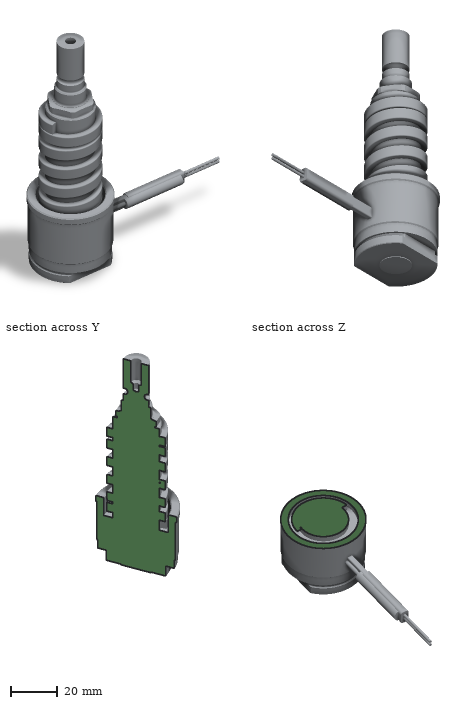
import math

import cadquery as cq

TOTAL_HEIGHT = 116.2
FLANGE_RADIUS = 19.0
FLANGE_TOP = 35.4
FLANGE_HEIGHT = 3.6
FLANGE_CHAMFER = 0.5
BODY_RADIUS = 18.5
BODY_BOTTOM = 10.5
COLLAR_RADIUS = 18.0
COLLAR_BOTTOM = 5.95
NECK_RADIUS = 17.0
FOOT_RADIUS = 18.0
FOOT_TOP = 4.2
FOOT_CHAMFER = 0.3
PAD_RADIUS = 7.0
PAD_HEIGHT = 0.35
FLATS_WIDTH = 28.0
RECESS_RADIUS = 15.0
RECESS_DEPTH = 10.0
RECESS_CHAMFER = 0.5

CORE_RADIUS = 11.0
CORE_TOP = 82.25
CORE_CHAMFER = 0.5
HEX_ACROSS_FLATS = 19.0
HEX_CORNER_DIAMETER = 21.0
UNDERCUT_HEIGHT = 0.4
HEX_BOTTOM = CORE_TOP + UNDERCUT_HEIGHT
HEX_TOP = 85.7
HEX_CROWN = 0.7
UNDERCUT_RADIUS = 8.8
COLLET_RADIUS = 7.0
COLLET_TOP = 92.9
COLLET_CHAMFER = 0.6
COLLET_FILLET = 0.8
SHAFT_RADIUS = 6.0
SHAFT_FILLET = 0.4
GROOVE_BOTTOM = 96.6
GROOVE_WIDTH = 2.9
GROOVE_MIN_RADIUS = 4.0
HOLE_RADIUS = 2.4
HOLE_DEPTH = 12.0
PILOT_RADIUS = 1.2
PILOT_DEPTH = 16.0
DRILL_POINT_ANGLE = 118.0

SPRING_OUTER_RADIUS = 13.75
WIRE_HEIGHT = 5.2
WIRE_FILLET = 0.4
BOND_OVERLAP = 0.1
SPRING_TOP = 79.75
SPRING_END_ANGLE = -71.2
CLOSED_PITCH = 5.5
OPEN_PITCH = 10.0
CLOSED_TURNS = 1.09
UPPER_TRANSITION_TURNS = 1.0
OPEN_TURNS = 2.4
LOWER_TRANSITION_TURNS = 0.7
POINTS_PER_TURN = 12

LEAD_HEIGHT = 17.25
LEAD_START = 17.0
FLAT_CABLE_X = -1.5
FLAT_CABLE_WIDTH = 2.6
FLAT_CABLE_HEIGHT = 5.3
FLAT_CABLE_FILLET = 0.5
FLAT_SLEEVE_WIDTH = 4.0
FLAT_SLEEVE_HEIGHT = 6.1
FLAT_SLEEVE_FILLET = 1.1
FLAT_SLEEVE_START = 31.0
SLEEVE_LENGTH = 30.0
WIRE_DIAMETER = 1.3
WIRE_SPACING = 1.8
WIRE_END = 81.0
ROUND_CABLE_DIAMETER = 2.0
ROUND_SLEEVE_DIAMETER = 5.0
ROUND_SLEEVE_START = 29.0


def cylinder(radius, bottom, top):
    return cq.Workplane("XY").workplane(offset=bottom).circle(radius).extrude(top - bottom)


def make_foot():
    """Pad, wrench foot and neck, cut to two parallel flats facing -X and +X."""
    pad = cylinder(PAD_RADIUS, 0, PAD_HEIGHT)
    foot = cylinder(FOOT_RADIUS, PAD_HEIGHT, FOOT_TOP).faces("<Z").chamfer(FOOT_CHAMFER)
    neck = cylinder(NECK_RADIUS, FOOT_TOP, COLLAR_BOTTOM)
    flats = cq.Workplane("XY").rect(FLATS_WIDTH, 2 * FOOT_RADIUS).extrude(COLLAR_BOTTOM)
    return pad.union(foot).union(neck).intersect(flats)


def make_cup():
    """Collar, body and flange with the recess that the spring sits in."""
    collar = cylinder(COLLAR_RADIUS, COLLAR_BOTTOM, BODY_BOTTOM)
    body = cylinder(BODY_RADIUS, BODY_BOTTOM, FLANGE_TOP - FLANGE_HEIGHT)
    body = body.faces("<Z").chamfer(BODY_RADIUS - COLLAR_RADIUS)
    flange = cylinder(FLANGE_RADIUS, FLANGE_TOP - FLANGE_HEIGHT, FLANGE_TOP).edges().chamfer(FLANGE_CHAMFER)
    recess = cylinder(RECESS_RADIUS, FLANGE_TOP - RECESS_DEPTH, FLANGE_TOP)
    cup = collar.union(body).union(flange).cut(recess)
    recess_rim = cq.selectors.RadiusNthSelector(0)
    return cup.faces(">Z").edges(recess_rim).chamfer(RECESS_CHAMFER)


def make_core():
    """Plain cylinder inside the spring with a thin undercut below the hexagon."""
    core = cylinder(CORE_RADIUS, FLANGE_TOP - RECESS_DEPTH, CORE_TOP).faces(">Z").chamfer(CORE_CHAMFER)
    return core.union(cylinder(UNDERCUT_RADIUS, CORE_TOP, HEX_BOTTOM))


def make_hexagon():
    """Hexagon with corners on the Y axis, turned down at the corners and crowned on top."""
    across_corners = HEX_ACROSS_FLATS / math.cos(math.pi / 6)
    crown_top = HEX_TOP + HEX_CROWN
    prism = (
        cq.Workplane("XY")
        .workplane(offset=HEX_BOTTOM)
        .transformed(rotate=(0, 0, 30))
        .polygon(6, across_corners)
        .extrude(crown_top - HEX_BOTTOM)
    )
    corner_radius = HEX_CORNER_DIAMETER / 2
    turned = (
        cq.Workplane("XZ")
        .moveTo(0, HEX_BOTTOM)
        .lineTo(corner_radius, HEX_BOTTOM)
        .lineTo(corner_radius, HEX_TOP)
        .lineTo(COLLET_RADIUS, crown_top)
        .lineTo(0, crown_top)
        .close()
        .revolve()
    )
    return prism.intersect(turned)


def make_shaft():
    """Collet and shaft with a round-bottomed groove and a stepped blind hole in the end."""
    crown_top = HEX_TOP + HEX_CROWN
    groove_radius = GROOVE_WIDTH / 2
    groove_edge = GROOVE_MIN_RADIUS + groove_radius
    groove_top = GROOVE_BOTTOM + GROOVE_WIDTH
    step_radius = COLLET_RADIUS - COLLET_CHAMFER
    step_height = COLLET_TOP + SHAFT_FILLET
    point_slope = 1 / math.tan(math.radians(DRILL_POINT_ANGLE / 2))
    hole_bottom = TOTAL_HEIGHT - HOLE_DEPTH
    pilot_top = hole_bottom - (HOLE_RADIUS - PILOT_RADIUS) * point_slope
    pilot_bottom = TOTAL_HEIGHT - PILOT_DEPTH
    return (
        cq.Workplane("XZ")
        .moveTo(0, HEX_BOTTOM)
        .lineTo(COLLET_RADIUS + COLLET_FILLET, HEX_BOTTOM)
        .lineTo(COLLET_RADIUS + COLLET_FILLET, crown_top)
        .radiusArc((COLLET_RADIUS, crown_top + COLLET_FILLET), COLLET_FILLET)
        .lineTo(COLLET_RADIUS, COLLET_TOP - COLLET_CHAMFER)
        .lineTo(step_radius, COLLET_TOP)
        .radiusArc((SHAFT_RADIUS, step_height), SHAFT_FILLET)
        .lineTo(SHAFT_RADIUS, GROOVE_BOTTOM)
        .lineTo(groove_edge, GROOVE_BOTTOM)
        .threePointArc((GROOVE_MIN_RADIUS, GROOVE_BOTTOM + groove_radius), (groove_edge, groove_top))
        .lineTo(SHAFT_RADIUS, groove_top)
        .lineTo(SHAFT_RADIUS, TOTAL_HEIGHT)
        .lineTo(HOLE_RADIUS, TOTAL_HEIGHT)
        .lineTo(HOLE_RADIUS, hole_bottom)
        .lineTo(PILOT_RADIUS, pilot_top)
        .lineTo(PILOT_RADIUS, pilot_bottom)
        .lineTo(0, pilot_bottom - PILOT_RADIUS * point_slope)
        .close()
        .revolve()
    )


def spring_drop(turns):
    """Height lost along the spring after a number of turns from its upper end."""
    stretches = (
        (CLOSED_TURNS, CLOSED_PITCH, CLOSED_PITCH),
        (UPPER_TRANSITION_TURNS, CLOSED_PITCH, OPEN_PITCH),
        (OPEN_TURNS, OPEN_PITCH, OPEN_PITCH),
        (LOWER_TRANSITION_TURNS, OPEN_PITCH, CLOSED_PITCH),
        (CLOSED_TURNS, CLOSED_PITCH, CLOSED_PITCH),
    )
    drop = 0.0
    for length, first_pitch, last_pitch in stretches:
        part = min(max(turns, 0.0), length)
        drop += part * first_pitch + (last_pitch - first_pitch) * part**2 / (2 * length)
        turns -= length
    return drop


def make_spring():
    """Flat-wire coil swept down its helical centre line, bonded slightly into the core."""
    inner_radius = CORE_RADIUS - BOND_OVERLAP
    middle_radius = (inner_radius + SPRING_OUTER_RADIUS) / 2
    middle_top = SPRING_TOP - WIRE_HEIGHT / 2
    start = math.radians(SPRING_END_ANGLE)
    total_turns = 2 * CLOSED_TURNS + UPPER_TRANSITION_TURNS + OPEN_TURNS + LOWER_TRANSITION_TURNS

    def centre_line(turns):
        angle = start - 2 * math.pi * turns
        x = middle_radius * math.cos(angle)
        y = middle_radius * math.sin(angle)
        z = middle_top - spring_drop(turns)
        return (x, y, z)

    point_count = round(POINTS_PER_TURN * total_turns)
    points = [centre_line(total_turns * i / point_count) for i in range(point_count + 1)]
    path = cq.Workplane("XY").spline(points)
    end_plane = cq.Plane(
        origin=points[0],
        xDir=(math.cos(start), math.sin(start), 0),
        normal=(math.sin(start), -math.cos(start), 0),
    )
    section = cq.Sketch().rect(SPRING_OUTER_RADIUS - inner_radius, WIRE_HEIGHT)
    section = section.vertices().fillet(WIRE_FILLET)
    return cq.Workplane(end_plane).placeSketch(section).sweep(path, isFrenet=True)


def lead_plane(start_y):
    """Section plane facing +Y, with local x along +Z and local y along +X."""
    return cq.Workplane("ZX", origin=(0, start_y, LEAD_HEIGHT))


def flat_lead(width, height, fillet, start_y, end_y):
    """Rounded rectangular bar along +Y on the flat cable's line."""
    lead = lead_plane(start_y).center(0, FLAT_CABLE_X).rect(height, width).extrude(end_y - start_y)
    return lead.edges("|Y").fillet(fillet)


def round_lead(diameter, x, z_offset, start_y, end_y):
    return lead_plane(start_y).center(z_offset, x).circle(diameter / 2).extrude(end_y - start_y)


def make_leads():
    """Flat two-wire cable and a round cable, each in its own sleeve."""
    flat_sleeve_end = FLAT_SLEEVE_START + SLEEVE_LENGTH
    round_sleeve_end = ROUND_SLEEVE_START + SLEEVE_LENGTH
    leads = flat_lead(FLAT_CABLE_WIDTH, FLAT_CABLE_HEIGHT, FLAT_CABLE_FILLET, LEAD_START, FLAT_SLEEVE_START)
    sleeve = flat_lead(
        FLAT_SLEEVE_WIDTH, FLAT_SLEEVE_HEIGHT, FLAT_SLEEVE_FILLET, FLAT_SLEEVE_START, flat_sleeve_end
    )
    leads = leads.union(sleeve)
    leads = leads.union(round_lead(ROUND_CABLE_DIAMETER, 0, 0, LEAD_START, ROUND_SLEEVE_START))
    leads = leads.union(round_lead(ROUND_SLEEVE_DIAMETER, 0, 0, ROUND_SLEEVE_START, round_sleeve_end))
    for side in (-1, 1):
        wire = round_lead(WIRE_DIAMETER, FLAT_CABLE_X, side * WIRE_SPACING / 2, flat_sleeve_end, WIRE_END)
        leads = leads.union(wire)
    return leads


result = (
    make_foot()
    .union(make_cup())
    .union(make_core())
    .union(make_hexagon())
    .union(make_shaft())
    .union(make_leads())
    .union(make_spring())
)